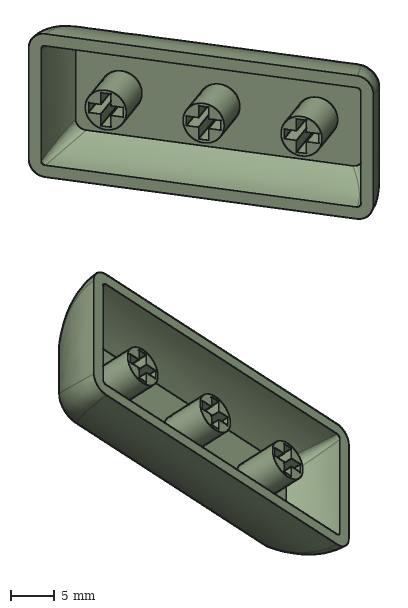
import cadquery as cq
import math

LENGTH = 41.9
HEIGHT = 18.1
DEPTH = 8.3
WALL = 1.5
SIDE_RADIUS = 14.25
RIM_CORNER = 2.0
TOP_CORNER = 2.75
SECTION_STEPS = 6
CAVITY_DEPTH = DEPTH - WALL
CAVITY_SIDE_RADIUS = SIDE_RADIUS - WALL
CAVITY_RIM_CORNER = RIM_CORNER - WALL
CAVITY_TOP_CORNER = TOP_CORNER - WALL

STEM_COUNT = 3
STEM_DIAMETER = 5.0
STEM_SPACING = 11.9
STEM_RECESS = 1.0
STEM_LENGTH = CAVITY_DEPTH - STEM_RECESS
CROSS_SPAN = 4.2
CROSS_SLOT = 1.2


def domed_block(length, height, depth, side_radius, rim_corner, top_corner):
    """Block whose sides curve inward and whose rounded corners widen from rim to top."""
    outlines = []
    for index in range(SECTION_STEPS + 1):
        fraction = index / SECTION_STEPS
        y = depth * fraction
        inset = side_radius - math.sqrt(side_radius**2 - y**2)
        corner = rim_corner + (top_corner - rim_corner) * fraction
        outline = cq.Sketch().rect(length - 2 * inset, height - 2 * inset).vertices().fillet(corner)
        outlines.append(outline.moved(cq.Location(cq.Vector(0, 0, -y))))
    return cq.Workplane("XZ").placeSketch(*outlines).loft()


def make_housing():
    outside = domed_block(LENGTH, HEIGHT, DEPTH, SIDE_RADIUS, RIM_CORNER, TOP_CORNER)
    cavity = domed_block(
        LENGTH - 2 * WALL,
        HEIGHT - 2 * WALL,
        CAVITY_DEPTH,
        CAVITY_SIDE_RADIUS,
        CAVITY_RIM_CORNER,
        CAVITY_TOP_CORNER,
    )
    return outside.cut(cavity)


def make_stem(x):
    """Round stem with a cross-shaped socket running along its whole length."""
    tip = cq.Workplane("XZ", origin=(x, STEM_RECESS, 0))
    stem = tip.circle(STEM_DIAMETER / 2).extrude(-STEM_LENGTH)
    level_slot = tip.rect(CROSS_SPAN, CROSS_SLOT).extrude(-STEM_LENGTH)
    upright_slot = tip.rect(CROSS_SLOT, CROSS_SPAN).extrude(-STEM_LENGTH)
    return stem.cut(level_slot).cut(upright_slot)


housing = make_housing()
stems = []
for index in range(STEM_COUNT):
    stem_x = (index - (STEM_COUNT - 1) / 2) * STEM_SPACING
    stems.append(make_stem(stem_x).val())

result = cq.Compound.makeCompound([housing.val(), *stems])